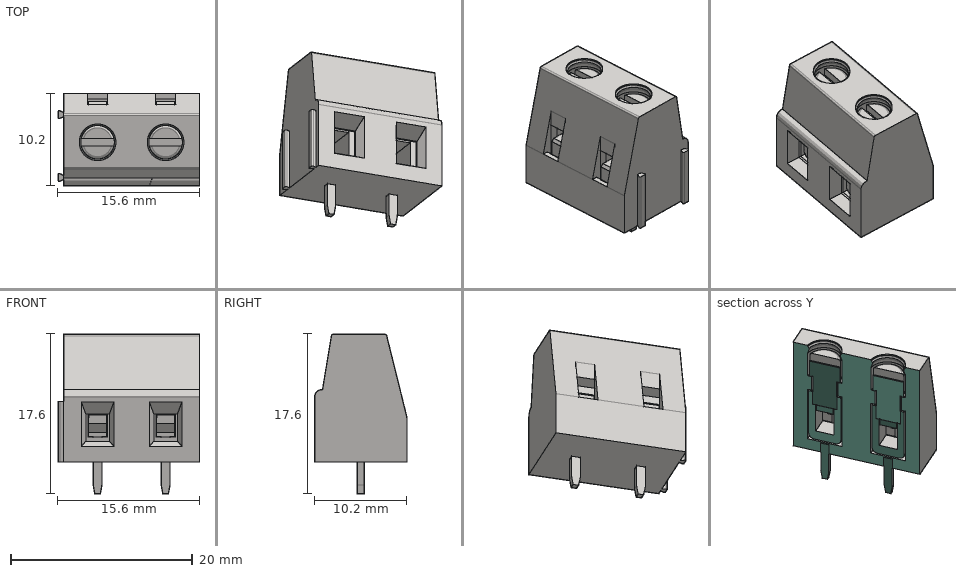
import cadquery as cq
import math


pole_count = 2
pitch = 7.5
pole_positions = [(i + 0.5) * pitch for i in range(pole_count)]

housing_length = pole_count * pitch
housing_depth = 10.2
housing_height = 14.1
lip_height = 8.0
lip_radius = 0.8
lip_depth = 0.86
roof_front = 1.87
roof_back = 7.92
back_knee_height = 4.9
roof_edge_radius = 0.2

rail_positions = [0.92, 7.85]
rail_height = 6.7
rail_projection = 0.6
rail_tip_width = 1.04
rail_root_width = 0.48
rail_corner = 0.13

entry_width = 3.6
entry_bottom = 1.75
entry_top = 6.65
mouth_width = 2.6
mouth_bottom = 2.3
mouth_top = 5.3
funnel_depth = 1.25
mouth_depth = 0.25

screw_y = 4.8
head_diameter = 3.7
head_flat_diameter = 3.19
head_recess = 1.07
head_bottom = 10.0
shank_diameter = 2.89
screw_slot_width = 0.83
screw_slot_depth = 1.0
head_top = housing_height - head_recess
head_edge_radius = (head_diameter - head_flat_diameter) / 2

well_rim_diameter = 4.04
well_lip_diameter = 3.92
well_neck_diameter = 3.7
rim_depth = 0.15
lip_upper_drop = 0.05
lip_lower_drop = 0.15
neck_length = 0.18
flare_length = 0.52
rim_bottom = housing_height - rim_depth
lip_break = rim_bottom - lip_upper_drop
neck_top = lip_break - lip_lower_drop
neck_bottom = neck_top - neck_length
flare_bottom = neck_bottom - flare_length
shank_hole_diameter = 3.11

clamp_width = 3.86
clamp_front = 2.44
clamp_back = 2 * screw_y - clamp_front
clamp_bottom = 1.55
clamp_top = 8.0
clamp_corner_radius = 0.7
window_width = 2.1
window_bottom = 2.75

metal = 0.8
bar_width = 2.0
bar_underside = 5.5
bend_start = 5.2
jog_top = 4.25
jog_bottom = 3.25
jog_angle = 20.4
bar_bottom = 2.81
strip_back = 9.32
leg_width = 1.0
leg_tip_width = 0.64
leg_y = housing_depth / 2
leg_bottom = -3.5
leg_taper = 1.0
tab_bottom = 0.4
bar_top = bar_underside + metal
strip_front = strip_back - metal
upper_front = strip_front - (jog_top - jog_bottom) * math.tan(math.radians(jog_angle))
upper_back = upper_front + metal
bend = bar_underside - bend_start

chamber_clearance = 0.1
chamber_width = clamp_width + 2 * chamber_clearance
chamber_front = funnel_depth + mouth_depth
chamber_back = 8.95
chamber_bottom = clamp_bottom - chamber_clearance
chamber_top = clamp_top + chamber_clearance
slot_width = 2.2
slot_bottom = window_bottom
rear_wall = 9.57


def block(width, y_from, y_to, z_from, z_to):
    """Box centred on X = 0."""
    box = cq.Workplane("XY").box(width, y_to - y_from, z_to - z_from, centered=(True, False, False))
    return box.translate((0, y_from, z_from))


def cylinder(diameter, z_from, z_to):
    """Cylinder on the screw axis of a pole at X = 0."""
    return cq.Workplane("XY", origin=(0, screw_y, z_from)).circle(diameter / 2).extrude(z_to - z_from)


def side_profile(points, width):
    """Closed (Y, Z) outline extruded symmetrically about X = 0."""
    return cq.Workplane("YZ").polyline(points).close().extrude(width / 2, both=True)



def housing_body():
    lip_corner = lip_radius * (1 - math.cos(math.radians(45)))
    lip_end = lip_height - lip_radius + math.sqrt(lip_radius**2 - (lip_depth - lip_radius) ** 2)
    body = (
        cq.Workplane("YZ")
        .moveTo(0, 0)
        .lineTo(0, lip_height - lip_radius)
        .threePointArc((lip_corner, lip_height - lip_corner), (lip_depth, lip_end))
        .lineTo(roof_front, housing_height)
        .lineTo(roof_back, housing_height)
        .lineTo(housing_depth, back_knee_height)
        .lineTo(housing_depth, 0)
        .close()
        .extrude(housing_length)
    )
    return body.faces(">Z").edges("|X").fillet(roof_edge_radius)


def rail(y):
    """Dovetail rail on the left wall, with rounded outer corners."""
    half_tip = rail_tip_width / 2
    half_root = rail_root_width / 2
    outline = [
        (0, y - half_root),
        (-rail_projection, y - half_tip),
        (-rail_projection, y + half_tip),
        (0, y + half_root),
    ]
    body = cq.Workplane("XY").polyline(outline).close().extrude(rail_height)
    return body.faces("<X").edges("|Z").fillet(rail_corner)


def wire_entry():
    entry_middle = (entry_bottom + entry_top) / 2
    mouth_middle = (mouth_bottom + mouth_top) / 2
    funnel = (
        cq.Workplane("XZ", origin=(0, 0, entry_middle))
        .rect(entry_width, entry_top - entry_bottom)
        .workplane(offset=-funnel_depth)
        .center(0, mouth_middle - entry_middle)
        .rect(mouth_width, mouth_top - mouth_bottom)
        .loft(ruled=True)
    )
    mouth = block(mouth_width, funnel_depth, chamber_front, mouth_bottom, mouth_top)
    return funnel.union(mouth)


def screw_well():
    rim = well_rim_diameter / 2
    neck = well_neck_diameter / 2
    outline = [
        (0, housing_height),
        (rim, housing_height),
        (rim, rim_bottom),
        (well_lip_diameter / 2, lip_break),
        (neck, neck_top),
        (neck, neck_bottom),
        (rim, flare_bottom),
        (rim, head_bottom),
        (0, head_bottom),
    ]
    well = cq.Workplane("XZ").polyline(outline).close().revolve(360, (0, 0, 0), (0, 1, 0))
    return well.translate((0, screw_y, 0)).union(cylinder(shank_hole_diameter, chamber_top, head_bottom))


def rear_slot():
    slot = block(slot_width, chamber_back, rear_wall, slot_bottom, housing_height)
    notch = block(slot_width, rear_wall, housing_depth, back_knee_height, housing_height)
    return slot.union(notch)


def make_housing(pins):
    body = housing_body()
    for y in rail_positions:
        body = body.union(rail(y))
    chamber = block(chamber_width, chamber_front, chamber_back, chamber_bottom, chamber_top)
    for x in pole_positions:
        for cavity in (wire_entry(), chamber, screw_well(), rear_slot()):
            body = body.cut(cavity.translate((x, 0, 0)))
    for pin in pins:
        body = body.cut(pin)
    return body



def make_pin(x):
    bar = side_profile(
        [
            (clamp_front, bar_underside),
            (upper_front - bend, bar_underside),
            (upper_front, bend_start),
            (upper_front, jog_top),
            (strip_front, jog_bottom),
            (strip_front, bar_bottom),
            (strip_back, bar_bottom),
            (strip_back, jog_bottom),
            (upper_back, jog_top),
            (upper_back, bar_top - bend),
            (upper_back - bend, bar_top),
            (clamp_front, bar_top),
        ],
        bar_width,
    )
    leg_front = leg_y - metal / 2
    riser = block(leg_width, strip_front, strip_back, tab_bottom, bar_bottom)
    tab = block(leg_width, leg_front, strip_back, tab_bottom, tab_bottom + metal)
    half_leg = leg_width / 2
    half_tip = leg_tip_width / 2
    taper_start = leg_bottom + leg_taper
    leg = (
        cq.Workplane("XZ", origin=(0, leg_front, 0))
        .polyline(
            [
                (-half_leg, tab_bottom),
                (-half_leg, taper_start),
                (-half_tip, leg_bottom),
                (half_tip, leg_bottom),
                (half_leg, taper_start),
                (half_leg, tab_bottom),
            ]
        )
        .close()
        .extrude(-metal)
    )
    return bar.union(riser).union(tab).union(leg).translate((x, 0, 0))



def make_clamp(x):
    cage = block(clamp_width, clamp_front, clamp_back, clamp_bottom, clamp_top)
    cage = cage.faces("<Z").edges("|Y").fillet(clamp_corner_radius)
    window = block(window_width, clamp_front, clamp_back, window_bottom, bar_top)
    threaded_hole = cylinder(shank_diameter, bar_top, clamp_top)
    return cage.cut(window).cut(threaded_hole).translate((x, 0, 0))



def make_screw(x):
    head = cylinder(head_diameter, head_bottom, head_top).faces(">Z").edges().fillet(head_edge_radius)
    shank = cylinder(shank_diameter, bar_top, head_bottom)
    half_slot = screw_slot_width / 2
    slot = block(
        head_diameter, screw_y - half_slot, screw_y + half_slot, head_top - screw_slot_depth, head_top
    )
    return head.union(shank).cut(slot).translate((x, 0, 0))


pins = [make_pin(x) for x in pole_positions]
clamps = [make_clamp(x) for x in pole_positions]
screws = [make_screw(x) for x in pole_positions]
housing = make_housing(pins)

result = cq.Compound.makeCompound([housing.val(), *[body.val() for body in pins + clamps + screws]])